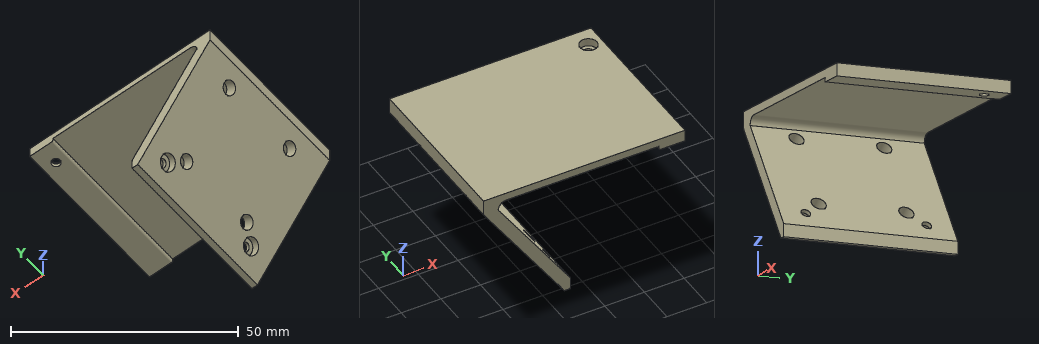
import cadquery as cq
import math

length = 50.9
width = 41.8
height = 33.0

plate_thickness = 2.0
pad_thickness = 3.0
pad_length = 6.55
pad_corner_radius = 0.4
back_wall_height = 3.85
leg_angle = 55.0
leg_thickness = 3.0
leg_end_x = 22.0
inner_round_radius = 2.0

screw_diameter = 2.2
counterbore_diameter = 4.2
counterbore_depth = 2.0
mount_diameter = 3.5
mount_pitch = 21.0
mount_first_distance = 5.15
leg_screw_distance = 29.75
leg_screw_half_spacing = 14.5
plate_screw_from_end = 3.45
plate_screw_from_side = 4.95

leg_slope = math.tan(math.radians(leg_angle))
leg_vertical_gap = leg_thickness / math.cos(math.radians(leg_angle))


def outer_face_z(x):
    """Height of the outer leg face; the plate top is at zero."""
    return -back_wall_height - leg_slope * x


def inner_face_z(x):
    return outer_face_z(x) + leg_vertical_gap


def make_body():
    leg_tip_x = (height - back_wall_height) / leg_slope
    round_end_z = -plate_thickness - inner_round_radius
    round_end_x = (inner_face_z(0) - round_end_z) / leg_slope
    round_start_x = round_end_x + inner_round_radius
    round_middle_offset = inner_round_radius * math.sqrt(0.5)
    round_middle = (round_start_x - round_middle_offset, round_end_z + round_middle_offset)
    pad_x = length - pad_length
    body = (
        cq.Workplane("XZ")
        .polyline([
            (0, 0),
            (length, 0),
            (length, -pad_thickness),
            (pad_x, -pad_thickness),
            (pad_x, -plate_thickness),
            (round_start_x, -plate_thickness),
        ])
        .threePointArc(round_middle, (round_end_x, round_end_z))
        .polyline([
            (leg_end_x, inner_face_z(leg_end_x)),
            (leg_end_x, -height),
            (leg_tip_x, -height),
            (0, -back_wall_height),
        ], includeCurrent=True)
        .close()
        .extrude(width / 2, both=True)
    )
    pad_edge = cq.selectors.NearestToPointSelector((pad_x, 0, -pad_thickness))
    return body.edges("|Y").edges(pad_edge).fillet(pad_corner_radius)


def drill_leg(body):
    angle = math.radians(leg_angle)
    leg_face = cq.Workplane(cq.Plane(
        origin=(0, 0, -back_wall_height),
        xDir=(0, 1, 0),
        normal=(-math.sin(angle), 0, -math.cos(angle)),
    ))
    mount_points = [
        (side * mount_pitch / 2, mount_first_distance + row * mount_pitch)
        for side in (-1, 1)
        for row in (0, 1)
    ]
    screw_points = [(side * leg_screw_half_spacing, leg_screw_distance) for side in (-1, 1)]
    mounts = leg_face.pushPoints(mount_points).circle(mount_diameter / 2).extrude(-2 * leg_thickness)
    screws = leg_face.pushPoints(screw_points).circle(screw_diameter / 2).extrude(-2 * leg_thickness)
    bores = leg_face.pushPoints(screw_points).circle(counterbore_diameter / 2).extrude(-counterbore_depth)
    return body.cut(mounts).cut(screws).cut(bores)


def drill_plate(body):
    return (
        body.faces(">Z")
        .workplane(origin=(0, 0, 0))
        .center(length - plate_screw_from_end, width / 2 - plate_screw_from_side)
        .cboreHole(screw_diameter, counterbore_diameter, counterbore_depth, depth=pad_thickness)
    )


result = drill_plate(drill_leg(make_body()))